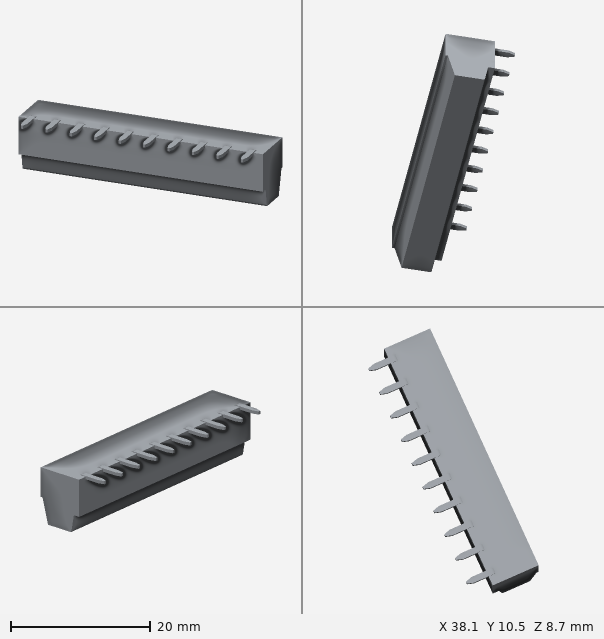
import cadquery as cq
import math

length = 38.1
total_depth = 10.5
total_height = 8.7

body_depth = 7.25
pin_rise = 0.1
body_height = total_height - pin_rise
front_ledge_height = 2.8
front_ledge_depth = 1.0
front_foot_inset = 1.45
back_ledge_height = 3.95
back_ledge_depth = 0.35
back_foot_inset = 1.37
foot_bevel_height = 0.23
foot_bevel_depth = 0.105

pin_count = 10
pin_pitch = 3.8
pin_width = 0.9
pin_thickness = 0.5
bend_outer_radius = 0.75
bend_inner_radius = bend_outer_radius - pin_thickness
bend_start = 0.7
tip_width = 0.35
tip_length = 1.0

pin_reach = total_depth - body_depth


def make_housing():
    """Extrude the end profile along X, centred on X = 0."""
    profile = [
        (0, body_height),
        (0, front_ledge_height),
        (front_ledge_depth, front_ledge_height),
        (front_foot_inset, foot_bevel_height),
        (front_foot_inset + foot_bevel_depth, 0),
        (body_depth - back_foot_inset, 0),
        (body_depth - back_ledge_depth, back_ledge_height),
        (body_depth, back_ledge_height),
        (body_depth, body_height),
    ]
    return cq.Workplane("YZ").polyline(profile).close().extrude(length / 2, both=True)


def make_pin():
    """Bend a flat strip down at the rear and taper its front tip."""
    bend_center_z = total_height - bend_outer_radius
    diagonal = math.sqrt(0.5)
    outer_middle = (bend_start + bend_outer_radius * diagonal, bend_center_z + bend_outer_radius * diagonal)
    inner_middle = (bend_start + bend_inner_radius * diagonal, bend_center_z + bend_inner_radius * diagonal)
    strip = (
        cq.Workplane("YZ")
        .moveTo(-pin_reach, total_height)
        .lineTo(bend_start, total_height)
        .threePointArc(outer_middle, (bend_start + bend_outer_radius, bend_center_z))
        .lineTo(bend_start + bend_inner_radius, bend_center_z)
        .threePointArc(inner_middle, (bend_start, total_height - pin_thickness))
        .lineTo(-pin_reach, total_height - pin_thickness)
        .close()
        .extrude(pin_width / 2, both=True)
    )
    taper_start = -pin_reach + tip_length
    plan = [
        (-tip_width / 2, -pin_reach),
        (tip_width / 2, -pin_reach),
        (pin_width / 2, taper_start),
        (pin_width / 2, body_depth),
        (-pin_width / 2, body_depth),
        (-pin_width / 2, taper_start),
    ]
    outline = cq.Workplane("XY").polyline(plan).close().extrude(total_height)
    return strip.intersect(outline)


result = make_housing()
pin = make_pin()
for index in range(pin_count):
    pin_x = (index - (pin_count - 1) / 2) * pin_pitch
    result = result.union(pin.translate((pin_x, 0, 0)))